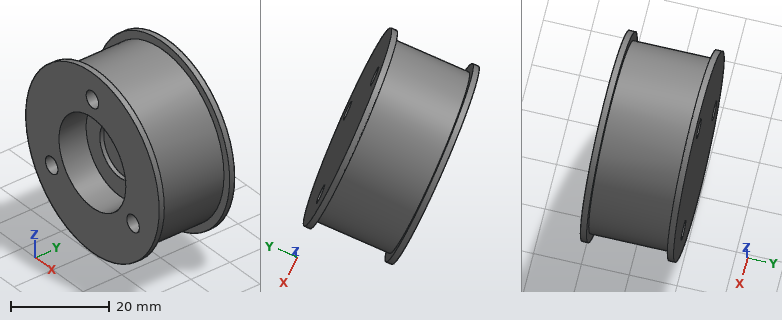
import cadquery as cq

flange_diameter = 44.0
drum_diameter = 40.25
width = 19.5
flange_thickness = 1.3

recess_diameter = 22.0
recess_depth = 7.0
inner_recess_diameter = 13.0
inner_recess_depth = 1.0

hole_diameter = 4.1
hole_circle_radius = 15.5
hole_count = 3
first_hole_angle = 90

front_y = -width / 2


def cylinder(diameter, start_y, length):
    """Cylinder on the Y axis that runs from start_y toward +Y."""
    plane = cq.Workplane("XZ", origin=(0, start_y, 0))
    return plane.circle(diameter / 2).extrude(-length)


def spool_body():
    drum = cylinder(drum_diameter, front_y, width)
    front_flange = cylinder(flange_diameter, front_y, flange_thickness)
    back_flange = cylinder(flange_diameter, width / 2 - flange_thickness, flange_thickness)
    return drum.union(front_flange).union(back_flange)


def stepped_recess():
    outer = cylinder(recess_diameter, front_y, recess_depth)
    inner = cylinder(inner_recess_diameter, front_y, recess_depth + inner_recess_depth)
    return outer.union(inner)


def through_holes():
    return (
        cq.Workplane("XZ", origin=(0, front_y, 0))
        .polarArray(hole_circle_radius, first_hole_angle, 360, hole_count)
        .circle(hole_diameter / 2)
        .extrude(-width)
    )


result = spool_body().cut(stepped_recess()).cut(through_holes())